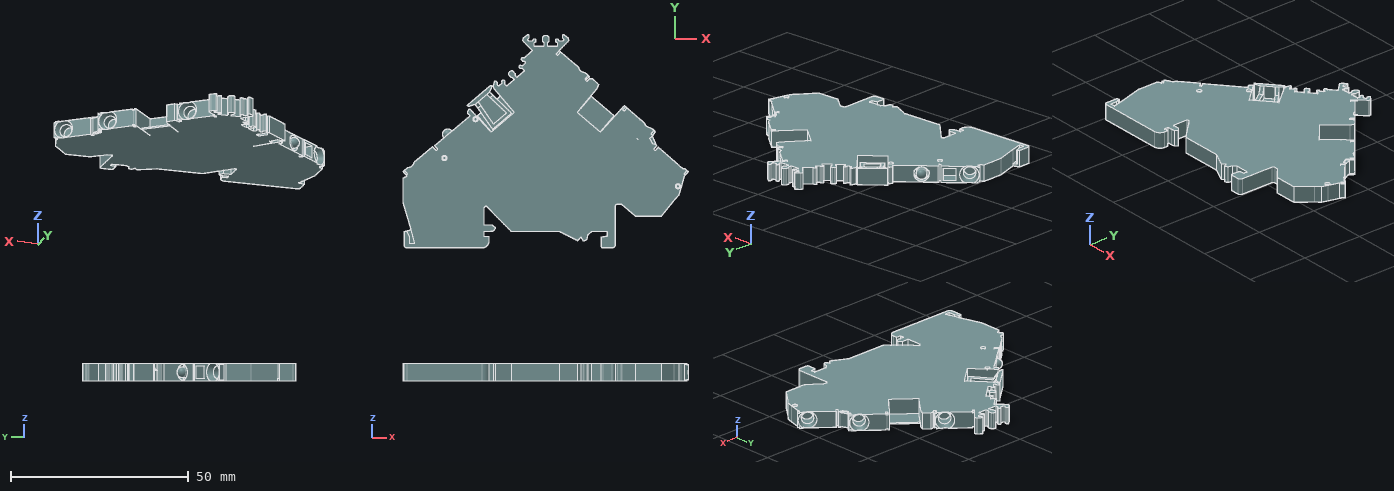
import cadquery as cq
import math

thickness = 5.0
mid_z = thickness / 2
half_width = 40.15
tilt = 40.5

comb_floor_y = 56.8
slope_comb_centre = (-8.5, 47.7)
crown_waist = (3.8, 55.5)

tier_ends = [(12.4, 48.2), (30.8, 32.7), (half_width, 21.45)]
tier_starts = [crown_waist, (22.5, 39.8), (31.25, 28.75)]
entry_setback = 2.25
funnel_mouth_radius = 2.7
funnel_throat_radius = 1.8
funnel_depth = 1.7
entry_bore_depth = 4.8
step_width = 0.6
step_length = 1.3
step_depth = 0.3
ledge_outline = [(30.0, 31.5), (31.0, 29.15), (30.1, 29.2), (29.2, 30.8)]

notch_corner = (-15.3, 32.6)
notch_width = 8.5
notch_floor_length = 6.0
lever_floor_thickness = 0.65
plain_floor_thickness = 0.4

lever_top = 3.0
window_floor = 1.1
handle_underside = 8.8
ramp_start = 7.55
lever_outline = [(0.8, 0.3), (7.8, 0.3), (7.0, handle_underside), (1.6, handle_underside)]
window_outline = [(1.9, 1.3), (6.75, 1.3), (5.95, handle_underside), (2.7, handle_underside)]
handle_outline = [
    (1.6, handle_underside), (7.0, handle_underside), (8.2, 9.4), (8.6, 9.8),
    (8.2, 10.1), (-0.3, 10.1), (-0.2, 9.55),
]

overrun = 0.4

lamp_centre = (-27.55, 32.0)
lamp_radius = 1.5
lamp_bore_radius = 2.2
lamp_bore_depth = 1.6
test_opening_centre = (-33.65, 27.0)
test_opening_size = 3.5
test_opening_depth = 4

dimple_centres = [(-28.5, 25.3), (-19.75, 36.2), (37.2, 17.35)]
dimple_radius = 0.7
dimple_floor_radius = 0.5
dimple_depth = 0.4

foot_slot_floor = 0.7
foot_slot_outline = [(-37.9, 5.1), (-36.9, 1.2), (-38.4, 1.2), (-38.4, 3.3), (-39.0, 4.6), (-39.0, 5.1)]

crown_post = [(0.44, 3.01, 0.2), (0.92, 2.5, 0.25), (0.92, 1.3, 0.25), (0.52, 1.0, 0), (0.52, 0, 0)]
slope_post = [(0.3, 2.5, 0.2), (0.8, 2.25, 0.25), (0.8, 1.0, 0.2), (0.52, 0.7, 0), (0.52, 0, 0)]
comb_teeth = [
    (3.3, 0, 0), (3.3, 0.9, 0), (2.7, 1.2, 0.25), (2.8, 2.0, 0.3), (3.45, 2.0, 0.25),
    (3.8, 1.45, 0.2), (5.5, 1.45, 0.3), (4.65, 2.3, 0.25), (4.65, 3.05, 0.25),
]
free_hook = [(5.0, 3.3, 0.2), (6.35, 2.3, 0.3), (6.5, 1.5, 0.25)]
merged_hook = [(5.1, 3.3, 0.25), (5.7, 2.8, 0)]


def place(origin, u, v, angle=tilt):
    """Plan position of a point given along (u) and square to (v) a line tilted by angle."""
    c = math.cos(math.radians(angle))
    s = math.sin(math.radians(angle))
    return (origin[0] + u * c - v * s, origin[1] + u * s + v * c)


def mirror_x(points):
    """Points mirrored about the Y axis, in reverse order so that the outline keeps its direction."""
    return [(-p[0], *p[1:]) for p in reversed(points)]


def rounded_outline(corners):
    """Closed outline through (x, y) or (x, y, radius) corners."""
    path = []
    for i, corner in enumerate(corners):
        radius = corner[2] if len(corner) > 2 else 0
        here = cq.Vector(corner[0], corner[1])
        if radius == 0:
            path.append((here, None, here))
            continue
        before = cq.Vector(*corners[i - 1][:2])
        after = cq.Vector(*corners[(i + 1) % len(corners)][:2])
        back = (before - here).normalized()
        ahead = (after - here).normalized()
        half_angle = back.getAngle(ahead) / 2
        setback = radius / math.tan(half_angle)
        to_centre = (back + ahead).normalized()
        middle = here + to_centre * (radius / math.sin(half_angle) - radius)
        path.append((here + back * setback, middle, here + ahead * setback))
    outline = cq.Workplane("XY").moveTo(*path[0][2].toTuple()[:2])
    for start, middle, end in path[1:] + path[:1]:
        outline = outline.lineTo(start.x, start.y)
        if middle is not None:
            outline = outline.threePointArc((middle.x, middle.y), (end.x, end.y))
    return outline.close()


def comb(centre, angle, post, right_hook):
    """Corners of a marker comb (rail of hooks, teeth and a post) from its left hook to its right hook."""
    local = mirror_x(post + comb_teeth + free_hook) + post + comb_teeth + right_hook
    return [(*place(centre, u, v, angle), r) for u, v, r in local]


def body():
    left_wall = [(-39.8, 4.6), (-39.0, 4.8), (-37.9, 5.1), (-half_width, 12.7), (-half_width, 19.7)]
    left_flank = [
        (-39.0, 20.2), (-half_width, 21.45), (-39.3, 22.25), (-31.7, 28.6), (-30.9, 29.1),
        (-21.3, 37.2), (-22.2, 38.0, 0.4), (-21.5, 39.35, 0.4),
    ]
    left_notch = [notch_corner, place(notch_corner, notch_width, 0), place(notch_corner, 8.5, 6.4)]
    right_flank = [
        crown_waist, tier_ends[0], (11.25, 47.2), (11.6, 46.9), (12.4, 47.6), (13.2, 47.6), (14.9, 45.9),
        (14.4, 44.7),
        *mirror_x(left_notch[:2]),
        (22.1, 40.1), (22.65, 39.6), (29.3, 33.8), (30.0, 33.5), tier_ends[1], (30.0, 31.5), (31.0, 29.15),
        tier_starts[2], (38.55, 22.3), (39.1, 22.3), tier_ends[2], (39.0, 20.2),
    ]
    right_underside = [
        (38.1, 16.8), (37.5, 14.9), (36.1, 13.4), (32.5, 8.9), (25.2, 8.9), (21.3, 12.3, 0.4),
        (19.6, 12.3, 0.6),
    ]
    right_foot = [(19.6, 0, 1.0), (15.6, 0, 0.5), (15.6, 3.05), (17.3, 3.4), (17.3, 4.6)]
    rail_latch = [
        (12.9, 4.6), (11.9, 3.7), (11.6, 2.3, 0.3), (10.6, 1.85, 0.25), (9.9, 3.05), (9.0, 2.0), (3.85, 4.6),
    ]
    rail_seat = [
        (-9.6, 4.6), (-16.8, 11.8, 0.25), (-17.35, 11.4, 0.3), (-17.35, 6.5), (-15.1, 6.5), (-14.05, 5.6, 0.25),
        (-14.7, 4.7), (-15.9, 4.6), (-17.35, 4.6), (-17.35, 3.3), (-15.9, 3.3),
    ]
    left_foot = [(-15.9, 0, 2.0), (-39.8, 0, 0.8)]
    corners = (
        left_wall + left_flank + left_notch
        + comb(slope_comb_centre, tilt, slope_post, merged_hook)
        + [(-crown_waist[0], crown_waist[1])]
        + comb((0, comb_floor_y), 0, crown_post, free_hook)
        + right_flank + right_underside + right_foot + rail_latch + rail_seat + left_foot
    )
    return rounded_outline(corners).extrude(thickness)


def notch_plane(z):
    """Plane at height z with X along the left notch's inner wall and Y pointing out of the notch."""
    x_dir = (*place((0, 0), 1, 0), 0)
    return cq.Workplane(cq.Plane(origin=(*notch_corner, z), xDir=x_dir, normal=(0, 0, 1)))


def notch_floor(height):
    return notch_plane(0).rect(notch_width, notch_floor_length, centered=False).extrude(height)


def lever():
    frame = notch_plane(0).polyline(lever_outline).close().extrude(thickness)
    ramp_profile = [
        (ramp_start, lever_top), (handle_underside, thickness), (0, thickness), (0, lever_top),
    ]
    start = (*notch_corner, 0)
    side = cq.Plane(origin=start, xDir=(*place((0, 0), 0, 1), 0), normal=(*place((0, 0), 1, 0), 0))
    above_frame = cq.Workplane(side).polyline(ramp_profile).close().extrude(notch_width)
    window = notch_plane(window_floor).polyline(window_outline).close().extrude(thickness)
    handle = notch_plane(0).polyline(handle_outline).close().extrude(thickness)
    return frame.cut(above_frame).cut(window).union(handle)


def flank_plane(point):
    """Plane on the left flank at mid-thickness, X along the flank, facing out of the housing."""
    x_dir = (*place((0, 0), 1, 0), 0)
    normal = (*place((0, 0), 0, 1), 0)
    return cq.Workplane(cq.Plane(origin=(*point, mid_z), xDir=x_dir, normal=normal))


def right_side(feature):
    """The same feature on the right flank."""
    return feature.mirror("YZ")


def wire_entry(tier_end):
    """Funnel and bore entering the left flank near the lower end of a step."""
    centre = place((-tier_end[0], tier_end[1]), entry_setback / math.cos(math.radians(tilt)), 0)
    profile = [
        (0, -overrun), (funnel_mouth_radius, -overrun), (funnel_mouth_radius, 0),
        (funnel_throat_radius, funnel_depth),
        (funnel_throat_radius, entry_bore_depth), (0, entry_bore_depth),
    ]
    profile_plane = cq.Plane(origin=(*centre, mid_z), xDir=(0, 0, 1), normal=(*place((0, 0), 1, 0), 0))
    return cq.Workplane(profile_plane).polyline(profile).close().revolve(360, (0, 0), (0, 1))


def in_both_faces(outline):
    """Cutter sinking a closed outline a step into the top and the bottom face."""
    lower = outline.extrude(step_depth)
    return lower.union(lower.translate((0, 0, thickness - step_depth)))


def flank_strip(corner, width):
    """Outline running into the left flank from a corner; a negative width runs down the flank."""
    edge = [(0, step_length / 2), (width, step_length / 2), (width, -step_length), (0, -step_length)]
    points = [place((-corner[0], corner[1]), u, v) for u, v in edge]
    return cq.Workplane("XY").polyline(points).close()


def lamp_bore():
    mouth = flank_plane(lamp_centre).workplane(offset=overrun)
    return mouth.circle(lamp_bore_radius).extrude(-(lamp_bore_depth + overrun))


def lamp():
    stem = flank_plane(lamp_centre).circle(lamp_radius).extrude(-lamp_bore_depth)
    return stem.union(flank_plane(lamp_centre).sphere(lamp_radius))


def test_opening():
    mouth = flank_plane(test_opening_centre).workplane(offset=overrun)
    return mouth.rect(test_opening_size, test_opening_size).extrude(-(test_opening_depth + overrun))


def dimple(centre):
    cone = cq.Solid.makeCone(dimple_floor_radius, dimple_radius, dimple_depth)
    return cq.Workplane(cone.translate(cq.Vector(*centre, thickness - dimple_depth)))


def foot_slot():
    bottom = cq.Workplane("XY").workplane(offset=foot_slot_floor)
    return bottom.polyline(foot_slot_outline).close().extrude(thickness)


result = body()

for tier_end in tier_ends:
    end_step = in_both_faces(flank_strip(tier_end, step_width))
    result = result.cut(right_side(end_step)).cut(right_side(wire_entry(tier_end)))
for tier_start in tier_starts[:-1]:
    result = result.cut(right_side(in_both_faces(flank_strip(tier_start, -step_width))))
lowest_slit = flank_strip(tier_starts[-1], -step_width).extrude(thickness)
result = result.cut(lowest_slit).cut(right_side(lowest_slit))
result = result.cut(in_both_faces(flank_strip(tier_ends[-1], step_width)))
result = result.cut(wire_entry(tier_ends[-1]))
result = result.cut(in_both_faces(cq.Workplane("XY").polyline(ledge_outline).close()))

result = result.union(right_side(notch_floor(plain_floor_thickness)))
result = result.union(notch_floor(lever_floor_thickness)).union(lever())

result = result.cut(lamp_bore()).union(lamp()).cut(test_opening())
for centre in dimple_centres:
    result = result.cut(dimple(centre))
result = result.cut(foot_slot())